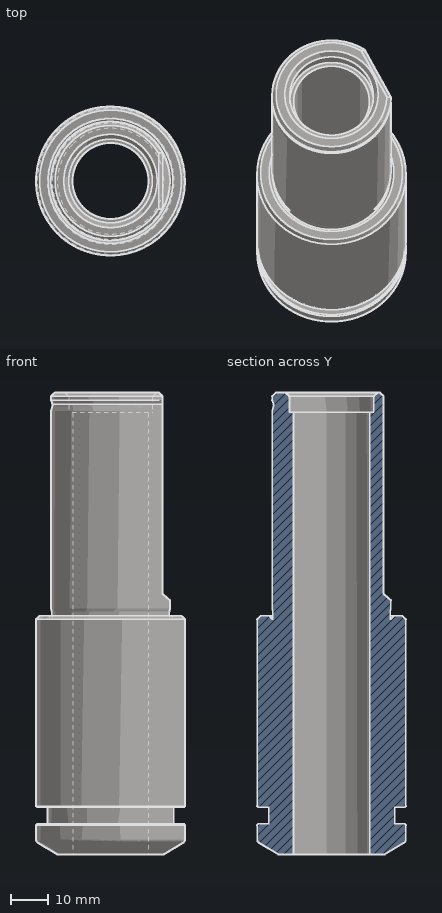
import cadquery as cq

length = 124.0
body_dia = 40.0
shank_dia = 32.0
relief_dia = 31.6
neck_dia = 34.0
bore_dia = 20.3
counterbore_dia = 22.5
mouth_dia = 25.0

body_top = 64.1
neck_top = 12.6
neck_bottom = 8.3
rim_bottom = 3.5
counterbore_depth = 5.3

base_dia = 28.5
rim_fillet = 1.1
body_chamfer = 1.0
neck_edge_chamfer = 0.4
mouth_chamfer_depth = 1.0
shank_chamfer_height = 1.0
shank_chamfer_width = 1.1

groove_depth = 0.4
groove_top = length - 2.1
groove_floor_top = length - 3.2
groove_floor_bottom = length - 3.6
groove_bottom = length - 5.0

relief_top = body_top + 1.9
relief_taper = 0.7
countersink_dia = 33.5
countersink_depth = 1.0

flat_x = 14.0
flat_ramp_height = 1.7
flat_bottom = body_top + 4.1


def make_envelope():
    """Revolve the outer half-profile, starting at the base."""
    body_r = body_dia / 2
    neck_r = neck_dia / 2
    shank_r = shank_dia / 2
    relief_r = relief_dia / 2
    edge = neck_edge_chamfer
    outline = [
        (0, 0),
        (base_dia / 2, 0),
        (body_r, rim_bottom),
        (body_r, neck_bottom - edge),
        (body_r - edge, neck_bottom),
        (neck_r, neck_bottom),
        (neck_r, neck_top),
        (body_r - edge, neck_top),
        (body_r, neck_top + edge),
        (body_r, body_top - body_chamfer),
        (body_r - body_chamfer, body_top),
        (countersink_dia / 2, body_top),
        (relief_r, body_top - countersink_depth),
        (relief_r, relief_top - relief_taper),
        (shank_r, relief_top),
        (shank_r, length),
        (0, length),
    ]
    envelope = cq.Workplane("XZ").polyline(outline).close().revolve(360, (0, 0, 0), (0, 1, 0))
    rim_edge = cq.selectors.BoxSelector(
        (-body_dia, -body_dia, rim_bottom - edge),
        (body_dia, body_dia, rim_bottom + edge),
    )
    return envelope.edges(rim_edge).fillet(rim_fillet)


def make_flat_cut():
    """Block that removes the +X side of the shank, with a sloped lower end."""
    shank_r = shank_dia / 2
    outline = [
        (flat_x, length),
        (flat_x, flat_bottom + flat_ramp_height),
        (shank_r, flat_bottom),
        (body_dia / 2, flat_bottom),
        (body_dia / 2, length),
    ]
    return cq.Workplane("XZ").polyline(outline).close().extrude(shank_dia / 2, both=True)


def make_shank_groove():
    """Ring with a narrow floor between two tapered sides."""
    shank_r = shank_dia / 2
    outline = [
        (shank_r - groove_depth, groove_floor_top),
        (shank_r, groove_top),
        (body_dia / 2, groove_top),
        (body_dia / 2, groove_bottom),
        (shank_r, groove_bottom),
        (shank_r - groove_depth, groove_floor_bottom),
    ]
    return cq.Workplane("XZ").polyline(outline).close().revolve(360, (0, 0, 0), (0, 1, 0))


def make_bore():
    """Through bore with a counterbore and a tapered mouth at the top."""
    bore_r = bore_dia / 2
    counterbore_r = counterbore_dia / 2
    outline = [
        (0, 0),
        (bore_r, 0),
        (bore_r, length - counterbore_depth),
        (counterbore_r, length - counterbore_depth),
        (counterbore_r, length - mouth_chamfer_depth),
        (mouth_dia / 2, length),
        (0, length),
    ]
    return cq.Workplane("XZ").polyline(outline).close().revolve(360, (0, 0, 0), (0, 1, 0))


shank_and_body = make_envelope().cut(make_flat_cut())
top_edges = shank_and_body.faces(">Z").edges()
shank_and_body = top_edges.chamfer(shank_chamfer_height, shank_chamfer_width)
result = shank_and_body.cut(make_shank_groove()).cut(make_bore())